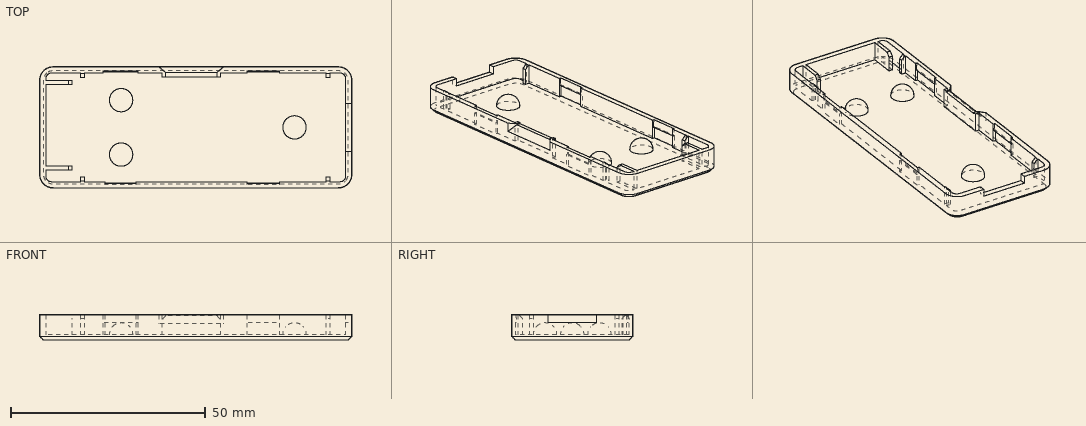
import cadquery as cq

length = 80.35
width = 31.2
height = 6.6
wall = 1.6
floor = 1.5
corner_radius = 3.5
inner_corner_radius = 1.5
bottom_chamfer = 1.0

inner_x = length / 2 - wall
inner_y = width / 2 - wall
overlap = wall / 2

bump_radius = 3.0
bump_centres = [(-19.2, 7.0), (-19.2, -7.0), (25.4, 0)]

rib_length = 6.8
rib_thickness = 1.0
rib_centres_y = [11.5, -10.5]
rib_end_chamfer = 1.0

post_width = 1.0
post_projection = 1.2
post_slope_length = 1.0
post_slope_drop = 1.0
post_centres_x = [-29.1, 34.05]

recess_rim_depth = 0.5
recess_back_depth = 0.65
recess_lip_depth = 0.25
recess_lip_drop = 2.0
snap_recesses = [(-19.4, 9.0, 1), (-19.4, 8.0, -1), (17.35, 8.4, 1), (17.35, 8.4, -1)]

notch_centre_x = -1.15
pad_width = 15.0
pad_projection = 1.0
notch_inner_width = 13.2
notch_outer_width = 16.7
notch_step_drop = 0.3
notch_flare_depth = 1.5
notch_slope_drop = 2.0

end_notch_width = 12.4
end_notch_depth = 2.0


def block(x_min, x_max, y_min, y_max, z_min, z_max):
    size = (x_max - x_min, y_max - y_min, z_max - z_min)
    return cq.Workplane("XY").box(*size, centered=False).translate((x_min, y_min, z_min))


def extrude_along_x(points_yz, centre_x, span):
    """Prism of a YZ outline, centred on centre_x."""
    start = centre_x - span / 2
    return cq.Workplane("YZ").polyline(points_yz).close().extrude(span).translate((start, 0, 0))


def tray():
    outer = cq.Workplane("XY").rect(length, width).extrude(height)
    outer = outer.edges("|Z").fillet(corner_radius)
    outer = outer.faces("<Z").edges().chamfer(bottom_chamfer)
    cavity = cq.Workplane("XY").workplane(offset=floor).rect(2 * inner_x, 2 * inner_y).extrude(height)
    return outer.cut(cavity.edges("|Z").fillet(inner_corner_radius))


def snap_recess(centre_x, span, side):
    """Wall recess that narrows from the rim to a snap lip and is deepest under the lip."""
    rim = inner_y + recess_rim_depth
    back = inner_y + recess_back_depth
    lip = inner_y + recess_lip_depth
    lip_z = height - recess_lip_drop
    inside = inner_y - overlap
    outline = [
        (inside, floor),
        (back, floor),
        (back, lip_z),
        (lip, lip_z),
        (rim, height),
        (inside, height),
    ]
    return extrude_along_x([(side * y, z) for y, z in outline], centre_x, span)


def post(centre_x, side):
    tip = inner_y - post_projection
    root = inner_y + overlap
    low_z = floor / 2
    outline = [
        (root, low_z),
        (tip, low_z),
        (tip, height - post_slope_drop),
        (tip + post_slope_length, height),
        (root, height),
    ]
    return extrude_along_x([(side * y, z) for y, z in outline], centre_x, post_width)


def rib(centre_y):
    tip = -inner_x + rib_length
    body = block(
        -inner_x - overlap,
        tip,
        centre_y - rib_thickness / 2,
        centre_y + rib_thickness / 2,
        floor / 2,
        height,
    )
    return body.edges(">X and >Z").chamfer(rib_end_chamfer)


def bump(centre):
    ball = cq.Workplane("XY").sphere(bump_radius).translate((*centre, floor))
    above_underside = block(-inner_x, inner_x, -inner_y, inner_y, floor / 2, height)
    return ball.intersect(above_underside)


def thumb_pad():
    half = pad_width / 2
    return block(
        notch_centre_x - half,
        notch_centre_x + half,
        inner_y - pad_projection,
        inner_y + overlap,
        floor / 2,
        height,
    )


def thumb_notch():
    """Shallow step through the pad that flares and slopes down towards the outside."""
    outer_y = width / 2
    flare_y = outer_y - notch_flare_depth
    step_y = inner_y - pad_projection
    step_z = height - notch_step_drop
    half_in = notch_inner_width / 2
    half_out = notch_outer_width / 2
    plan = [
        (-half_in, step_y),
        (half_in, step_y),
        (half_in, flare_y),
        (half_out, outer_y),
        (-half_out, outer_y),
        (-half_in, flare_y),
    ]
    side = [
        (step_y, height),
        (step_y, step_z),
        (flare_y, step_z),
        (outer_y, step_z - notch_slope_drop),
        (outer_y, height),
    ]
    plan_prism = cq.Workplane("XY").polyline(plan).close().extrude(height).translate((notch_centre_x, 0, 0))
    return plan_prism.intersect(extrude_along_x(side, notch_centre_x, notch_outer_width))


def end_notch():
    half = end_notch_width / 2
    return block(inner_x - overlap, length / 2, -half, half, height - end_notch_depth, height)


result = tray()
for recess in snap_recesses:
    result = result.cut(snap_recess(*recess))
for post_x in post_centres_x:
    for post_side in (1, -1):
        result = result.union(post(post_x, post_side))
for rib_y in rib_centres_y:
    result = result.union(rib(rib_y))
for bump_centre in bump_centres:
    result = result.union(bump(bump_centre))
result = result.union(thumb_pad()).cut(thumb_notch()).cut(end_notch())